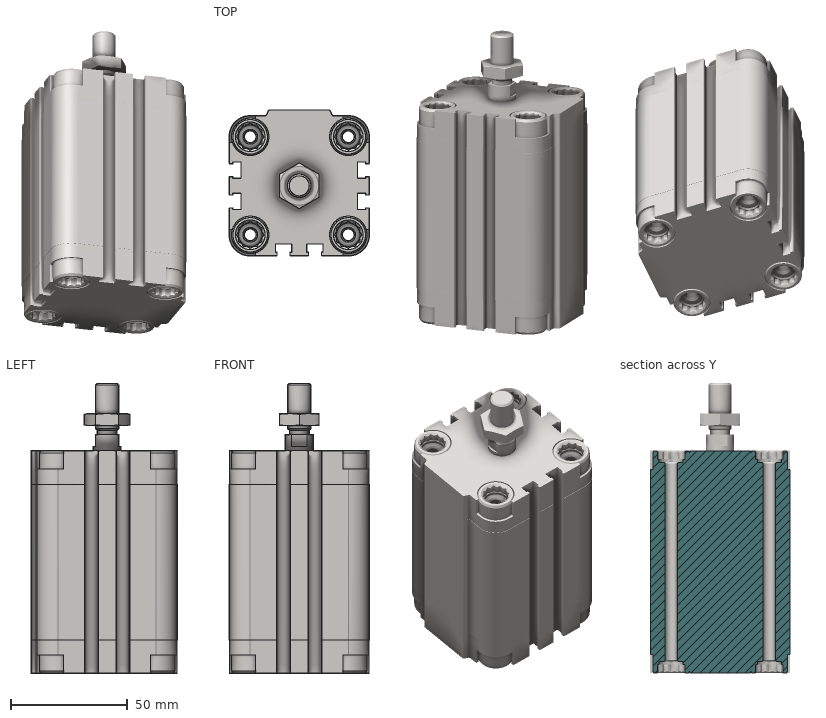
import cadquery as cq
import math

housing_height = 95.2
cap_height = 14.4
corner_offset = 21.0
barrel_half_width = 30.0
cap_half_width = 29.9

rail_top = 32.5
rail_top_half_width = 13.1
rail_foot_half_width = 14.1
rail_fillet = 1.0
select_margin = 0.1

slot_offset = 6.7
slot_width = 6.8
slot_floor = 24.9
lip_inside = 28.4
mouth_width = 5.5
mouth_chamfer = 0.2

head_radius = 16.0 / 2
head_chamfer_width = 0.6
head_chamfer_height = 1.0
notch_corner = 18.6
notch_depth = 7.9
socket_flats = 10.0
socket_depth = 3.7
socket_mouth_diameter = 12.6
socket_mouth_depth = 1.0
relief_diameter = socket_flats
relief_depth = 5.0
bolt_hole_diameter = 5.0
countersink_diameter = 6.3

overall_height = 124.0
rod_diameter = 12.0
collar_top = 102.0
flat_bottom = 97.1
thread_diameter = 10.0
thread_start = 103.9
thread_chamfer = 0.7
neck_diameter = thread_diameter - 2 * thread_chamfer
rod_flats = thread_diameter

nut_bottom = 105.9
nut_thickness = 5.2
nut_flats = 17.0
nut_face_diameter = 16.6
nut_corner_drop = 0.4

hexagon_ratio = 1 / math.cos(math.radians(30))


def slot_cutter(face, height):
    """T-slot opening toward +X through a side face at the given distance from the axis."""
    half_mouth = mouth_width / 2
    half_slot = slot_width / 2
    half_flare = half_mouth + mouth_chamfer
    upper_half = [
        (face, half_flare),
        (face - mouth_chamfer, half_mouth),
        (lip_inside, half_mouth),
        (lip_inside, half_slot),
        (slot_floor, half_slot),
    ]
    lower_half = [(x, -y) for x, y in reversed(upper_half)]
    return cq.Workplane("XY").polyline(upper_half + lower_half).close().extrude(height)


def housing_section(half_width, bottom, height):
    """One stretch of the housing: rounded square with a rail and six T-slots."""
    corner_radius = half_width - corner_offset
    section = cq.Workplane("XY").rect(2 * half_width, 2 * half_width).extrude(height)
    section = section.edges("|Z").fillet(corner_radius)

    rail_outline = [
        (-rail_foot_half_width, half_width),
        (-rail_top_half_width, rail_top),
        (rail_top_half_width, rail_top),
        (rail_foot_half_width, half_width),
        (rail_foot_half_width, corner_offset),
        (-rail_foot_half_width, corner_offset),
    ]
    rail = cq.Workplane("XY").polyline(rail_outline).close().extrude(height)
    section = section.union(rail)
    rail_edges = cq.selectors.BoxSelector(
        (-rail_foot_half_width - select_margin, half_width - select_margin, 0),
        (rail_foot_half_width + select_margin, rail_top + select_margin, height),
    )
    section = section.edges("|Z").edges(rail_edges).fillet(rail_fillet)

    for side_angle in (0, 180, 270):
        for offset in (-slot_offset, slot_offset):
            slot = slot_cutter(half_width, height).translate((0, offset, 0))
            section = section.cut(slot.rotate((0, 0, 0), (0, 0, 1), side_angle))
    return section.translate((0, 0, bottom))


def disc(diameter, bottom, height):
    """Upright cylinder on the Z axis."""
    return cq.Workplane("XY", origin=(0, 0, bottom)).circle(diameter / 2).extrude(height)


def head_cutter():
    """Everything removed around one screw head at the +X +Y corner of the top face, at Z = 0."""
    notch_size = barrel_half_width - notch_corner
    notch_start = notch_corner - corner_offset
    notch = cq.Workplane("XY").box(notch_size, notch_size, notch_depth, centered=False)
    notch = notch.translate((notch_start, notch_start, -notch_depth))
    cutter = notch.cut(disc(2 * head_radius, -notch_depth, notch_depth))

    chamfer_profile = [
        (head_radius, -head_chamfer_height),
        (head_radius, 0),
        (head_radius - head_chamfer_width, 0),
    ]
    chamfer = cq.Workplane("XZ").polyline(chamfer_profile).close().revolve(360, (0, 0), (0, 1))
    cutter = cutter.union(chamfer)

    for turn in (0, 30):
        hexagon = cq.Workplane("XY").polygon(6, socket_flats * hexagon_ratio).extrude(-socket_depth)
        cutter = cutter.union(hexagon.rotate((0, 0, 0), (0, 0, 1), turn))

    sink_depth = (countersink_diameter - bolt_hole_diameter) / 2
    bore_profile = [
        (0, 0),
        (socket_mouth_diameter / 2, 0),
        (relief_diameter / 2, -socket_mouth_depth),
        (relief_diameter / 2, -relief_depth),
        (countersink_diameter / 2, -relief_depth),
        (bolt_hole_diameter / 2, -relief_depth - sink_depth),
        (0, -relief_depth - sink_depth),
    ]
    bore = cq.Workplane("XZ").polyline(bore_profile).close().revolve(360, (0, 0), (0, 1))
    return cutter.union(bore)


def make_housing():
    """Barrel between two end caps, with a screw head in each corner of both ends."""
    barrel_height = housing_height - 2 * cap_height
    body = housing_section(barrel_half_width, cap_height, barrel_height)
    body = body.union(housing_section(cap_half_width, 0, cap_height))
    body = body.union(housing_section(cap_half_width, cap_height + barrel_height, cap_height))

    top_cutter = head_cutter().translate((corner_offset, corner_offset, housing_height))
    bottom_cutter = top_cutter.mirror("XY", (0, 0, housing_height / 2))
    bolt_hole = disc(bolt_hole_diameter, 0, housing_height)
    bolt_hole = bolt_hole.translate((corner_offset, corner_offset, 0))
    for quarter in range(4):
        for cutter in (top_cutter, bottom_cutter, bolt_hole):
            body = body.cut(cutter.rotate((0, 0, 0), (0, 0, 1), 90 * quarter))
    return body


def make_rod():
    """Rod end standing on the top cap: flatted collar, neck and thread."""
    collar = disc(rod_diameter, housing_height, collar_top - housing_height)
    flats_height = collar_top - flat_bottom
    for side in (-1, 1):
        flat_cutter = cq.Workplane("XY").box(
            rod_diameter, rod_diameter, flats_height, centered=(True, True, False)
        )
        flat_offset = side * (rod_flats + rod_diameter) / 2
        collar = collar.cut(flat_cutter.translate((0, flat_offset, flat_bottom)))

    neck = disc(neck_diameter, collar_top, thread_start - collar_top)
    thread = disc(thread_diameter, thread_start, overall_height - thread_start)
    thread = thread.faces("<Z or >Z").chamfer(thread_chamfer)
    return collar.union(neck).union(thread)


def make_nut():
    """Hexagon nut with both faces chamfered, two of its flats facing -X and +X."""
    hexagon = cq.Workplane("XY").polygon(6, nut_flats * hexagon_ratio).extrude(nut_thickness)
    hexagon = hexagon.rotate((0, 0, 0), (0, 0, 1), 30)
    corner_radius = nut_flats * hexagon_ratio / 2
    envelope_profile = [
        (0, 0),
        (nut_face_diameter / 2, 0),
        (corner_radius, nut_corner_drop),
        (corner_radius, nut_thickness - nut_corner_drop),
        (nut_face_diameter / 2, nut_thickness),
        (0, nut_thickness),
    ]
    envelope = cq.Workplane("XZ").polyline(envelope_profile).close().revolve(360, (0, 0), (0, 1))
    nut = hexagon.intersect(envelope).cut(disc(thread_diameter, 0, nut_thickness))
    return nut.translate((0, 0, nut_bottom))


housing = make_housing()
rod = make_rod()
nut = make_nut()

result = cq.Compound.makeCompound([*housing.solids().vals(), *rod.solids().vals(), *nut.solids().vals()])